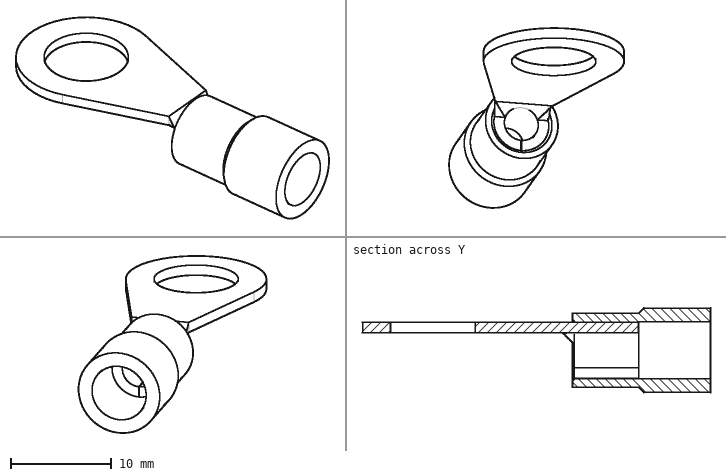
import cadquery as cq
import math

total_length = 34.63

ring_radius = 7.0
stud_hole_radius = 4.2
ring_center_x = ring_radius - total_length / 2
neck_x = 2.6
neck_half_width = 2.95

barrel_radius = 2.8
sheet_thickness = 1.07
barrel_bore_radius = barrel_radius - sheet_thickness
arch_foot_z = 0.55
seam_width = 0.07

sleeve_start_x = 3.55
sleeve_end_x = total_length / 2
shoulder_x = 10.15
shoulder_length = 0.52
front_radius = 3.7
rear_diameter = 8.4
rear_radius = rear_diameter / 2
mouth_depth = 0.2
mouth_radius = 3.08

barrel_start_x = sleeve_start_x + mouth_depth
barrel_end_x = shoulder_x


def make_tongue():
    """Flat ring whose straight sides run tangentially to the neck."""
    neck_offset = neck_x - ring_center_x
    neck_distance = math.hypot(neck_offset, neck_half_width)
    tangent_angle = math.atan2(neck_half_width, neck_offset) + math.acos(ring_radius / neck_distance)
    tangent_x = ring_center_x + ring_radius * math.cos(tangent_angle)
    tangent_y = ring_radius * math.sin(tangent_angle)
    return (
        cq.Workplane("XY", origin=(0, 0, barrel_bore_radius))
        .moveTo(neck_x, -neck_half_width)
        .lineTo(neck_x, neck_half_width)
        .lineTo(tangent_x, tangent_y)
        .threePointArc((-total_length / 2, 0), (tangent_x, -tangent_y))
        .close()
        .moveTo(ring_center_x, 0)
        .circle(stud_hole_radius)
        .extrude(sheet_thickness)
    )


def arch_edge(radius):
    """Arc over the barrel axis, from foot to foot, at the start of the barrel."""
    foot_y = math.sqrt(radius**2 - arch_foot_z**2)
    return cq.Edge.makeThreePointArc(
        cq.Vector(barrel_start_x, -foot_y, arch_foot_z),
        cq.Vector(barrel_start_x, 0, radius),
        cq.Vector(barrel_start_x, foot_y, arch_foot_z),
    )


def neck_edge(z):
    """Straight line across the neck at the given height."""
    return cq.Edge.makeLine(
        cq.Vector(neck_x, -neck_half_width, z),
        cq.Vector(neck_x, neck_half_width, z),
    )


def make_transition():
    """Ruled solid from the flat neck to the upper arch of the barrel wall."""
    neck_top = neck_edge(barrel_radius)
    neck_bottom = neck_edge(barrel_bore_radius)
    arch_top = arch_edge(barrel_radius)
    arch_bottom = arch_edge(barrel_bore_radius)

    def side_face(end):
        neck_side = cq.Edge.makeLine(end(neck_top), end(neck_bottom))
        arch_foot = cq.Edge.makeLine(end(arch_top), end(arch_bottom))
        return cq.Face.makeRuledSurface(neck_side, arch_foot)

    def end_face(top, bottom):
        sides = [
            cq.Edge.makeLine(top.startPoint(), bottom.startPoint()),
            cq.Edge.makeLine(top.endPoint(), bottom.endPoint()),
        ]
        return cq.Face.makeFromWires(cq.Wire.assembleEdges([top, sides[1], bottom, sides[0]]))

    faces = [
        cq.Face.makeRuledSurface(neck_top, arch_top),
        cq.Face.makeRuledSurface(neck_bottom, arch_bottom),
        side_face(cq.Edge.startPoint),
        side_face(cq.Edge.endPoint),
        end_face(neck_top, neck_bottom),
        end_face(arch_top, arch_bottom),
    ]
    return cq.Workplane(cq.Solid.makeSolid(cq.Shell.makeShell(faces)).fix())


def make_barrel():
    """Rolled tube with a narrow open seam along its underside."""
    barrel_length = barrel_end_x - barrel_start_x
    tube = (
        cq.Workplane("YZ", origin=(barrel_start_x, 0, 0))
        .circle(barrel_radius)
        .circle(barrel_bore_radius)
        .extrude(barrel_length)
    )
    seam = cq.Workplane("XY", origin=(barrel_start_x, 0, -barrel_radius)).box(
        barrel_length, seam_width, barrel_radius, centered=(False, True, False)
    )
    return tube.cut(seam)


def make_terminal():
    return make_tongue().union(make_transition()).union(make_barrel())


def make_sleeve():
    """Stepped sleeve with a conical shoulder and a flared front mouth."""
    return (
        cq.Workplane("XY")
        .moveTo(sleeve_start_x, mouth_radius)
        .lineTo(sleeve_start_x, front_radius)
        .lineTo(shoulder_x, front_radius)
        .lineTo(shoulder_x + shoulder_length, rear_radius)
        .lineTo(sleeve_end_x, rear_radius)
        .lineTo(sleeve_end_x, barrel_radius)
        .lineTo(sleeve_start_x + mouth_depth, barrel_radius)
        .close()
        .revolve(360, (0, 0, 0), (1, 0, 0))
    )


terminal = make_terminal()
sleeve = make_sleeve()

result = cq.Compound.makeCompound([terminal.solids().val(), sleeve.val()])